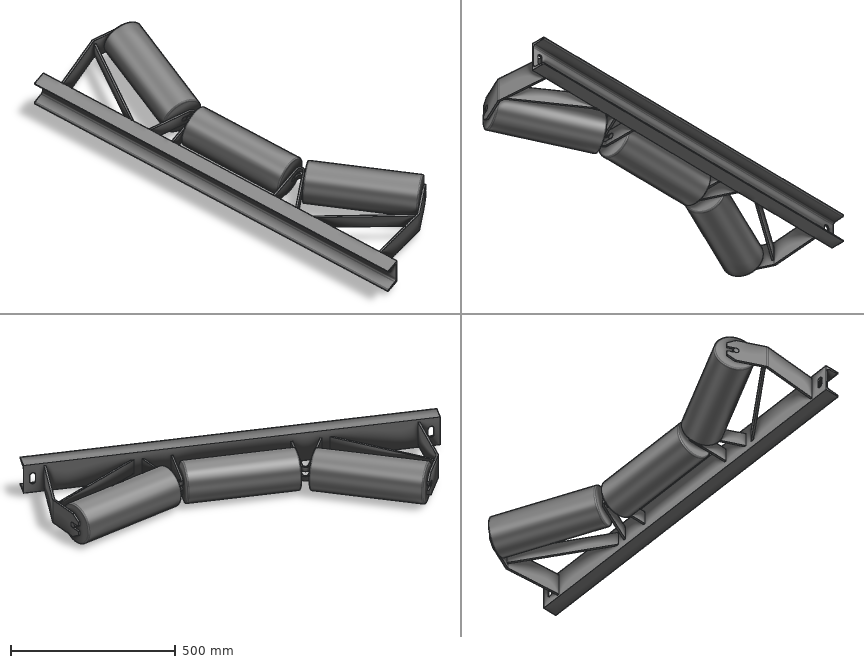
import cadquery as cq
import math


BEAM_LENGTH = 1300.0
BEAM_HEIGHT = 100.0
FLANGE_WIDTH = 50.0
WEB_THICKNESS = 5.0
FLANGE_THICKNESS = 8.0
FLANGE_TAPER = 5.0
ROOT_RADIUS = 8.0
TIP_RADIUS = 4.0
MOUNT_SLOT_WIDTH = 18.0
MOUNT_SLOT_HEIGHT = 39.0
MOUNT_SLOT_INSET = 29.0

ROLLER_DIAMETER = 133.0
ROLLER_LENGTH = 356.0
ROLLER_EDGE_RADIUS = 4.0
SHAFT_DIAMETER = 18.0
CENTRE_ROLLER_Y = 118.0
SIDE_ROLLER_X = 387.0
SIDE_ROLLER_Y = 205.0
TROUGH_ANGLE = 25.0

PLATE_THICKNESS = 6.0
OUTER_WIDTH = 82.0
INNER_WIDTH = 50.0
END_GAP = 5.0
INNER_BEND_RADIUS = 15.0
OUTER_BEND_RADIUS = 13.0
OUTER_BEND_DROP = 100.0
OUTER_TIP_RISE = 29.0
OUTER_FOOT_X = 586.0
TIP_CORNER_RUN = 27.0
TIP_CORNER_HEIGHT = 17.0
STRUT_WIDTH = 50.0
STRUT_FOOT_X = 311.0
STRUT_ANGLE = 35.0

PLATE_REACH = ROLLER_LENGTH / 2 + END_GAP
SHAFT_REACH = PLATE_REACH + PLATE_THICKNESS
FOOT_EXTENSION = 13.0

TILT = math.radians(TROUGH_ANGLE)
CENTRE_FRAME = cq.Location(cq.Vector(0, CENTRE_ROLLER_Y, 0))
LEFT_FRAME = cq.Location(cq.Vector(-SIDE_ROLLER_X, SIDE_ROLLER_Y, 0), cq.Vector(0, 0, 1), -TROUGH_ANGLE)


def left_point(along, across):
    """Beam coordinates of a point given in the left roller's frame."""
    x = -SIDE_ROLLER_X + along * math.cos(TILT) + across * math.sin(TILT)
    y = SIDE_ROLLER_Y - along * math.sin(TILT) + across * math.cos(TILT)
    return cq.Vector(x, y, 0)


def line_point_at_y(point, direction, y):
    return point + direction * ((y - point.y) / direction.y)


def make_beam():
    half = BEAM_HEIGHT / 2
    taper_rise = math.tan(math.radians(FLANGE_TAPER)) * FLANGE_WIDTH / 2
    web_rise = taper_rise - math.tan(math.radians(FLANGE_TAPER)) * WEB_THICKNESS
    root_z = half - FLANGE_THICKNESS - web_rise
    tip_z = half - FLANGE_THICKNESS + taper_rise
    outline = [
        (0, half), (-FLANGE_WIDTH, half), (-FLANGE_WIDTH, tip_z), (-WEB_THICKNESS, root_z),
        (-WEB_THICKNESS, -root_z), (-FLANGE_WIDTH, -tip_z), (-FLANGE_WIDTH, -half), (0, -half),
    ]
    beam = cq.Workplane("YZ").polyline(outline).close().extrude(BEAM_LENGTH / 2, both=True)
    for sign in (-1, 1):
        beam = beam.edges(cq.NearestToPointSelector((0, -WEB_THICKNESS, sign * root_z))).fillet(ROOT_RADIUS)
        beam = beam.edges(cq.NearestToPointSelector((0, -FLANGE_WIDTH, sign * tip_z))).fillet(TIP_RADIUS)
    slot_x = BEAM_LENGTH / 2 - MOUNT_SLOT_INSET
    slots = (
        cq.Workplane("XZ").pushPoints([(-slot_x, 0), (slot_x, 0)])
        .slot2D(MOUNT_SLOT_HEIGHT, MOUNT_SLOT_WIDTH, 90).extrude(WEB_THICKNESS)
    )
    return beam.cut(slots)


def make_roller(frame):
    left_end = cq.Workplane("YZ").workplane(offset=-ROLLER_LENGTH / 2)
    shell = left_end.circle(ROLLER_DIAMETER / 2).extrude(ROLLER_LENGTH)
    shell = shell.edges("%CIRCLE").fillet(ROLLER_EDGE_RADIUS)
    shaft = cq.Workplane("YZ").circle(SHAFT_DIAMETER / 2).extrude(SHAFT_REACH, both=True)
    return cq.Workplane(shell.union(shaft).val().moved(frame))


def shaft_slot(frame, end):
    """Cutter for the slot that takes a shaft's end (-1 or 1), open towards local +Y."""
    depth = INNER_BEND_RADIUS
    rise = ROLLER_DIAMETER / 2
    middle = end * (PLATE_REACH + depth / 2)
    round_bottom = cq.Workplane("YZ").circle(SHAFT_DIAMETER / 2).extrude(depth / 2, both=True)
    opening = cq.Workplane("XY").box(depth, rise, SHAFT_DIAMETER, centered=(True, False, True))
    return cq.Workplane(round_bottom.union(opening).translate((middle, 0, 0)).val().moved(frame))


def bent_plate(start, corner, end, width, outside_radius):
    """Plate whose outside runs start, corner, end, turning clockwise, with a rounded bend."""
    first = (corner - start).normalized()
    second = (end - corner).normalized()
    first_inward = cq.Vector(first.y, -first.x, 0) * PLATE_THICKNESS
    second_inward = cq.Vector(second.y, -second.x, 0) * PLATE_THICKNESS
    half_turn = first.getAngle(second) / 2
    inward = (first_inward + second_inward).normalized()
    inside_corner = corner + inward * (PLATE_THICKNESS / math.cos(half_turn))
    outline = [start, corner, end, end + second_inward, inside_corner, start + first_inward]
    plate = (
        cq.Workplane("XY").polyline([(p.x, p.y) for p in outline]).close()
        .extrude(width / 2, both=True)
    )
    plate = plate.edges(cq.NearestToPointSelector(corner.toTuple())).fillet(outside_radius)
    inside_radius = outside_radius - PLATE_THICKNESS
    return plate.edges(cq.NearestToPointSelector(inside_corner.toTuple())).fillet(inside_radius)


def trim_at_beam(body):
    """Remove what lies beyond the back of the beam's web."""
    waste = cq.Workplane("XY").box(BEAM_LENGTH, BEAM_HEIGHT, BEAM_HEIGHT).translate((0, -BEAM_HEIGHT / 2, 0))
    return body.cut(waste)


def make_inner_bracket():
    """Left inner bracket: an inverted V between the left and the centre roller."""
    up_the_plate = left_point(0, 13) - left_point(0, 0)
    face_point = left_point(PLATE_REACH, 0)
    corner = face_point + up_the_plate * ((-PLATE_REACH - face_point.x) / up_the_plate.x)
    slanted_foot = line_point_at_y(face_point, up_the_plate, -FOOT_EXTENSION)
    upright_foot = cq.Vector(-PLATE_REACH, -FOOT_EXTENSION, 0)
    bracket = bent_plate(slanted_foot, corner, upright_foot, INNER_WIDTH, INNER_BEND_RADIUS)
    bracket = trim_at_beam(bracket)
    return bracket.cut(shaft_slot(LEFT_FRAME, 1)).cut(shaft_slot(CENTRE_FRAME, -1))


def outer_bend_corner():
    return left_point(-SHAFT_REACH, -OUTER_BEND_DROP)


def make_outer_bracket():
    """Left outer bracket: a leg on the beam, bent to lie along the left roller's outer end."""
    corner = outer_bend_corner()
    foot_at_beam = cq.Vector(-OUTER_FOOT_X, 0, 0)
    foot = line_point_at_y(corner, foot_at_beam - corner, -FOOT_EXTENSION)
    tip = left_point(-SHAFT_REACH, OUTER_TIP_RISE)
    bracket = trim_at_beam(bent_plate(foot, corner, tip, OUTER_WIDTH, OUTER_BEND_RADIUS))
    half = OUTER_WIDTH / 2
    for sign in (-1, 1):
        corner_cut = (
            cq.Workplane("YZ")
            .polyline([
                (OUTER_TIP_RISE, sign * half),
                (OUTER_TIP_RISE - TIP_CORNER_RUN, sign * half),
                (OUTER_TIP_RISE, sign * (half - TIP_CORNER_HEIGHT)),
            ])
            .close().extrude(PLATE_THICKNESS).translate((-SHAFT_REACH, 0, 0))
        )
        bracket = bracket.cut(cq.Workplane(corner_cut.val().moved(LEFT_FRAME)))
    return bracket.cut(shaft_slot(LEFT_FRAME, -1))


def make_strut(outer_bracket):
    """Left strut: a flat bar from the beam up to the inside of the outer bracket's bend."""
    slope = math.radians(STRUT_ANGLE)
    length = (outer_bend_corner().x + PLATE_THICKNESS + STRUT_FOOT_X) / -math.cos(slope)
    bar = cq.Workplane("XY").box(
        length + FOOT_EXTENSION, PLATE_THICKNESS, STRUT_WIDTH, centered=(False, True, True)
    )
    bar = bar.translate((-FOOT_EXTENSION, 0, 0)).rotate((0, 0, 0), (0, 0, 1), 180 - STRUT_ANGLE)
    return trim_at_beam(bar.translate((-STRUT_FOOT_X, 0, 0))).cut(outer_bracket)


beam = make_beam()
centre_roller = make_roller(CENTRE_FRAME)
left_roller = make_roller(LEFT_FRAME)
left_inner_bracket = make_inner_bracket()
left_outer_bracket = make_outer_bracket()
left_strut = make_strut(left_outer_bracket)

bodies = [beam.val(), centre_roller.val()]
for left_body in (left_roller, left_inner_bracket, left_outer_bracket, left_strut):
    bodies.append(left_body.val())
    bodies.append(left_body.mirror("YZ").val())

result = cq.Compound.makeCompound(bodies)